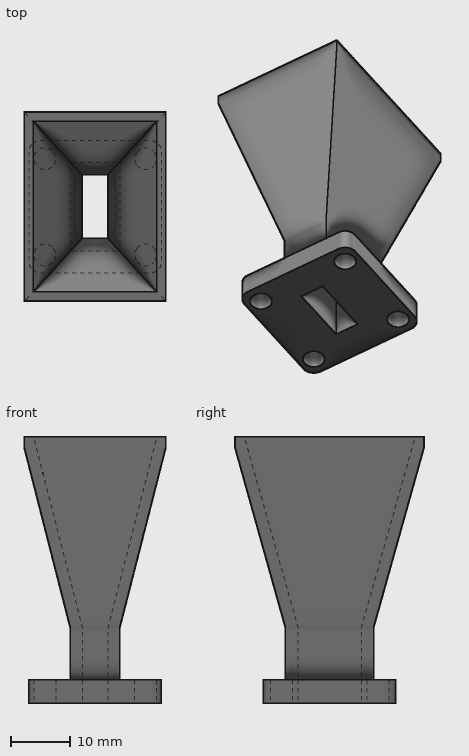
import cadquery as cq

total_height = 45.0
flange_thickness = 4.0
throat_height = 12.82
lip_height = 1.8

mouth_x, mouth_y = 23.95, 31.95
rim_wall = 1.58
neck_x, neck_y = 8.4, 14.95
bore_x, bore_y = 4.3, 10.65

flange_side = 22.4
flange_corner_radius = 2.02
hole_diameter = 3.7
hole_spacing_x, hole_spacing_y = 17.0, 16.25

lip_base = total_height - lip_height


def block(size_x, size_y, bottom, top):
    """Centred rectangular block between two heights."""
    return cq.Workplane("XY").workplane(offset=bottom).rect(size_x, size_y).extrude(top - bottom)


def taper(lower_x, lower_y, bottom, upper_x, upper_y, top):
    """Centred rectangular frustum between two heights."""
    return (
        cq.Workplane("XY")
        .workplane(offset=bottom)
        .rect(lower_x, lower_y)
        .workplane(offset=top - bottom)
        .rect(upper_x, upper_y)
        .loft(ruled=True)
    )


flange = (
    block(flange_side, flange_side, 0, flange_thickness)
    .edges("|Z")
    .fillet(flange_corner_radius)
    .faces(">Z")
    .workplane()
    .rect(hole_spacing_x, hole_spacing_y, forConstruction=True)
    .vertices()
    .hole(hole_diameter)
)

neck = block(neck_x, neck_y, 0, throat_height)
horn = taper(
    neck_x,
    neck_y,
    throat_height,
    mouth_x,
    mouth_y,
    lip_base,
)
lip = block(mouth_x, mouth_y, lip_base, total_height)

bore = block(bore_x, bore_y, 0, throat_height)
flare = taper(
    bore_x,
    bore_y,
    throat_height,
    mouth_x - 2 * rim_wall,
    mouth_y - 2 * rim_wall,
    total_height,
)

result = flange.union(neck).union(horn).union(lip).cut(bore).cut(flare)